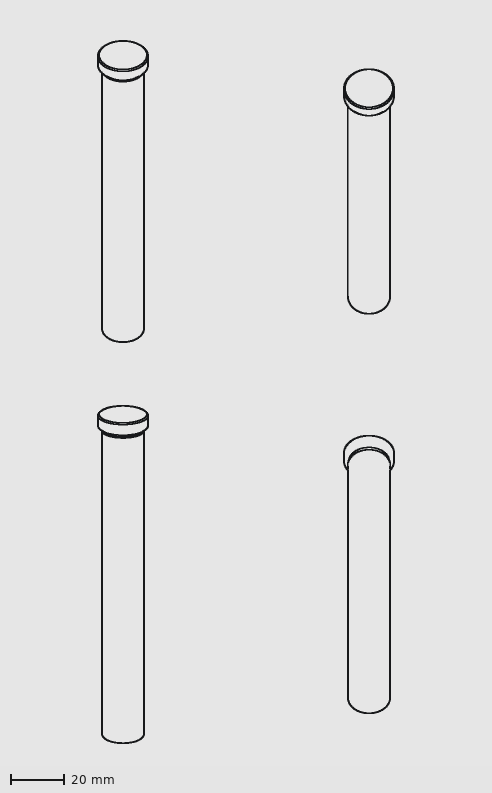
import cadquery as cq

total_length = 130.0
head_diameter = 19.0
head_height = 5.0
head_top_chamfer = 0.5
head_bottom_fillet = 0.5

shank_diameter = 16.0
tip_fillet = 1.5

groove_diameter = 15.3
groove_width = 1.5

head_bottom = total_length - head_height
groove_bottom = head_bottom - groove_width
shank_radius = shank_diameter / 2
groove_radius = groove_diameter / 2
groove_depth = shank_radius - groove_radius


def make_head():
    """Disc head with a chamfered top rim and a rounded bottom rim."""
    disc = cq.Workplane("XY").workplane(offset=head_bottom).circle(head_diameter / 2).extrude(head_height)
    return disc.faces(">Z").edges().chamfer(head_top_chamfer).faces("<Z").edges().fillet(head_bottom_fillet)


def make_shank():
    """Round shank with a 45 degree shoulder into the groove and a rounded tip."""
    profile = (
        cq.Workplane("XZ")
        .lineTo(shank_radius, 0)
        .lineTo(shank_radius, groove_bottom)
        .lineTo(groove_radius, groove_bottom + groove_depth)
        .lineTo(groove_radius, head_bottom)
        .lineTo(0, head_bottom)
        .close()
    )
    shank = profile.revolve(360, (0, 0, 0), (0, 1, 0))
    return shank.faces("<Z").edges().fillet(tip_fillet)


result = make_shank().union(make_head())